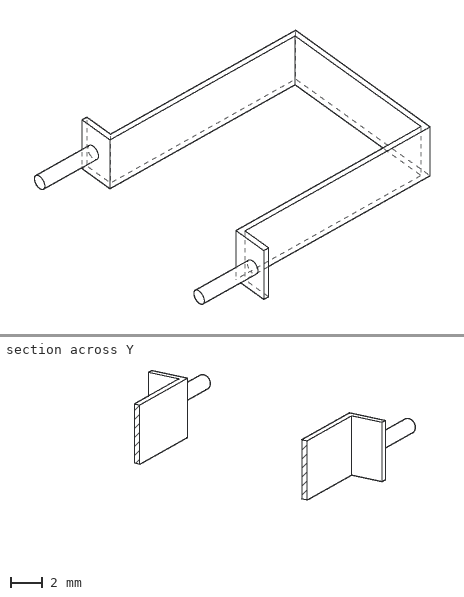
import cadquery as cq

overall_width = 17.32
overall_length = 20.5
strap_height = 4.0
strap_thickness = 0.4
inner_width = 12.0
pin_diameter = 1.0
pin_length = 4.5
pin_spacing = 15.2

foot_front = pin_length
foot_back = foot_front + strap_thickness
inner_half = inner_width / 2
outer_half = inner_half + strap_thickness
foot_half = overall_width / 2
inner_back = overall_length - strap_thickness


def make_strap():
    """Bent U-shaped strap with outward feet, centred on Z = 0."""
    right_half = [
        (0, overall_length),
        (outer_half, overall_length),
        (outer_half, foot_back),
        (foot_half, foot_back),
        (foot_half, foot_front),
        (inner_half, foot_front),
        (inner_half, inner_back),
        (0, inner_back),
    ]
    half = cq.Workplane("XY").polyline(right_half).close().extrude(strap_height / 2, both=True)
    return half.union(half.mirror("YZ"))


def make_pin(x):
    """Round pin running from its tip to the back of a foot."""
    return cq.Workplane("XZ").center(x, 0).circle(pin_diameter / 2).extrude(-foot_back)


result = make_strap()
for side in (-1, 1):
    result = result.union(make_pin(side * pin_spacing / 2))